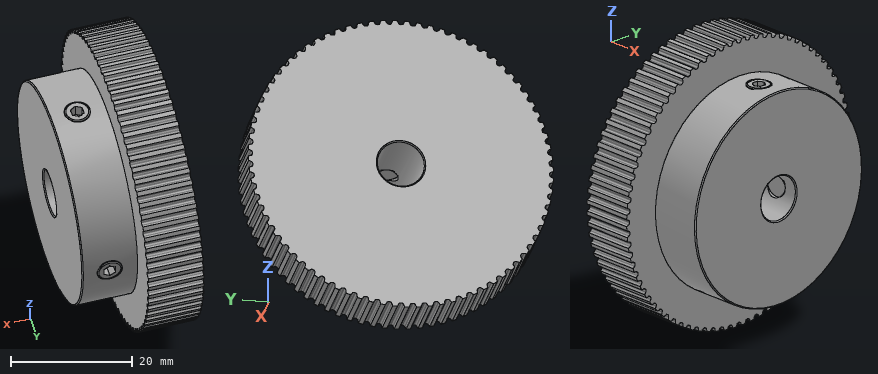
import cadquery as cq
import math

TOOTH_COUNT = 80
RIM_RADIUS = 25.6
RIM_WIDTH = 9.55
HUB_RADIUS = 19.05
HUB_WIDTH = RIM_WIDTH
HUB_CHAMFER = 0.2
BORE_RADIUS = 3.95
BORE_CHAMFER = 0.2

GAP_DEPTH = 0.65
GAP_MOUTH_WIDTH = 1.25
GAP_FLANK_ANGLE = 25.0
GAP_ROOT_RADIUS = 0.4
GAP_OVERCUT = 0.5

SCREW_RADIUS = 2.15
SCREW_CHAMFER = 0.25
SCREW_X = RIM_WIDTH + HUB_WIDTH / 2
SCREW_OUTER_END = HUB_RADIUS
SCREW_INNER_END = BORE_RADIUS
SCREW_LENGTH = SCREW_OUTER_END - SCREW_INNER_END
SCREW_TURNS = (0, -90)
SOCKET_FLATS = 2.0
SOCKET_DEPTH = 2.05


def pulley_blank():
    """Rim, hub and bore turned as one revolved profile, with chamfered edges."""
    total_width = RIM_WIDTH + HUB_WIDTH
    profile = (
        cq.Workplane("XZ")
        .moveTo(0, BORE_RADIUS + BORE_CHAMFER)
        .lineTo(0, RIM_RADIUS)
        .lineTo(RIM_WIDTH, RIM_RADIUS)
        .lineTo(RIM_WIDTH, HUB_RADIUS)
        .lineTo(total_width - HUB_CHAMFER, HUB_RADIUS)
        .lineTo(total_width, HUB_RADIUS - HUB_CHAMFER)
        .lineTo(total_width, BORE_RADIUS + BORE_CHAMFER)
        .lineTo(total_width - BORE_CHAMFER, BORE_RADIUS)
        .lineTo(BORE_CHAMFER, BORE_RADIUS)
        .close()
    )
    return profile.revolve(360, (0, 0, 0), (1, 0, 0))


def tooth_gap_cutter():
    """Cutter for the tooth gap at +Z, running across the rim."""
    taper = math.tan(math.radians(GAP_FLANK_ANGLE))
    root_half_width = GAP_MOUTH_WIDTH / 2 - GAP_DEPTH * taper
    outer_half_width = GAP_MOUTH_WIDTH / 2 + GAP_OVERCUT * taper
    root = RIM_RADIUS - GAP_DEPTH
    outside = RIM_RADIUS + GAP_OVERCUT
    section = [
        (-root_half_width, root),
        (root_half_width, root),
        (outer_half_width, outside),
        (-outer_half_width, outside),
    ]
    cutter = cq.Workplane("YZ").polyline(section).close().extrude(RIM_WIDTH)
    return cutter.edges("|X and <Z").fillet(GAP_ROOT_RADIUS)


def screw_hole(turn):
    """Straight hole from outside the hub into the bore."""
    hole = cq.Workplane("XY").center(SCREW_X, 0).circle(SCREW_RADIUS).extrude(RIM_RADIUS)
    return hole.rotate((0, 0, 0), (1, 0, 0), turn)


def make_pulley():
    pulley = pulley_blank()
    cutter = tooth_gap_cutter().val()
    pitch_angle = 360 / TOOTH_COUNT
    gaps = [cutter.rotate((0, 0, 0), (1, 0, 0), i * pitch_angle) for i in range(TOOTH_COUNT)]
    pulley = pulley.cut(cq.Workplane(cq.Compound.makeCompound(gaps)))
    for turn in SCREW_TURNS:
        pulley = pulley.cut(screw_hole(turn))
    return pulley


def make_set_screw(turn):
    """Headless screw, flush with the hub, with a hexagon socket in its outer end."""
    socket_corners = SOCKET_FLATS / math.cos(math.radians(30))
    screw = (
        cq.Workplane("XY", origin=(SCREW_X, 0, SCREW_INNER_END))
        .circle(SCREW_RADIUS)
        .extrude(SCREW_LENGTH)
        .faces(">Z")
        .chamfer(SCREW_CHAMFER)
        .faces(">Z")
        .workplane()
        .transformed(rotate=(0, 0, 30))
        .polygon(6, socket_corners)
        .cutBlind(-SOCKET_DEPTH)
    )
    return screw.rotate((0, 0, 0), (1, 0, 0), turn)


pulley = make_pulley()
set_screws = [make_set_screw(turn) for turn in SCREW_TURNS]

result = cq.Compound.makeCompound([pulley.val(), *[screw.val() for screw in set_screws]])